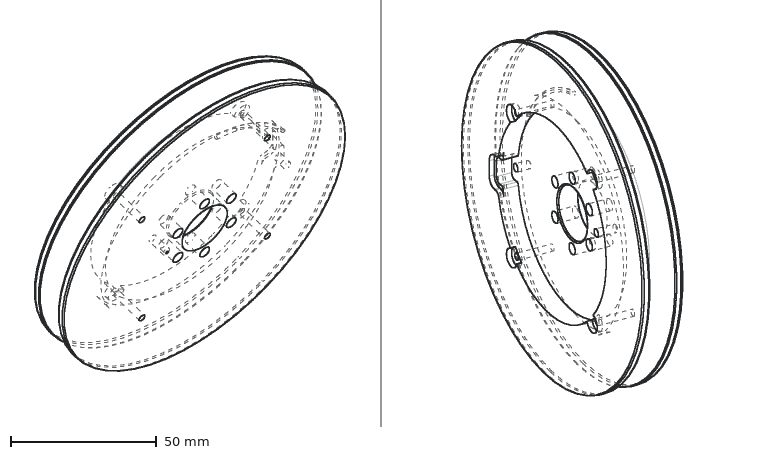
import cadquery as cq
import math

outer_radius = 62.5
width = 16.0
flange_thickness = 3.0
hub_radius = 42.5
root_fillet = 2.0
rim_outer_chamfer = 0.8
rim_inner_chamfer = 0.5
rim_chamfer_height = 0.2

recess_radius = 37.5
recess_depth = 8.0
ledge_depth = 2.0

notch_reach = 41.6
notch_half_height = 5.0
notch_corner_radius = 2.0
notch_mouth_radius = 1.0
ledge_margin = 1.5
ledge_mouth_radius = 2.5

bore_radius = 10.0
bore_chamfer = 0.5
bolt_circle_radius = 13.6
bolt_hole_radius = 2.1
bolt_count = 6
corner_hole_offset = 27.8
corner_hole_radius = 1.2
corner_seat_radius = 3.5
pin_hole_radius = 1.5
pin_tip_angle = 118.0
through_pin_y = -16.6
through_pin_opening_radius = 0.5
notch_pin_y = 38.9
notch_pin_depth = 5.0

channel_radius = 0.8
channel_path_radius = 42.8
channel_offset = 3.4
channel_tilt = 2.0
channel_start_angle = 28.0
channel_sweep_angle = 52.0

left_face = -width / 2
right_face = width / 2
recess_floor = left_face + recess_depth
web_thickness = width - recess_depth
selection_margin = 0.1


def yz_plane(x):
    """Sketch plane at x: local x is +Y, local y is +Z, and extrusion runs toward +X."""
    return cq.Workplane("YZ", origin=(x, 0, 0))


def cylinder(x, length, radius, y=0, z=0):
    return yz_plane(x).center(y, z).circle(radius).extrude(length)


def spool_body():
    """Disc with two flanges and a rounded groove between them."""
    groove_half = width / 2 - flange_thickness
    shoulder = outer_radius - rim_chamfer_height
    return (
        cq.Workplane("XY")
        .moveTo(left_face, 0)
        .lineTo(left_face, shoulder)
        .lineTo(left_face + rim_outer_chamfer, outer_radius)
        .lineTo(-groove_half - rim_inner_chamfer, outer_radius)
        .lineTo(-groove_half, shoulder)
        .lineTo(-groove_half, hub_radius + root_fillet)
        .radiusArc((-groove_half + root_fillet, hub_radius), -root_fillet)
        .lineTo(groove_half - root_fillet, hub_radius)
        .radiusArc((groove_half, hub_radius + root_fillet), -root_fillet)
        .lineTo(groove_half, shoulder)
        .lineTo(groove_half + rim_inner_chamfer, outer_radius)
        .lineTo(right_face - rim_outer_chamfer, outer_radius)
        .lineTo(right_face, shoulder)
        .lineTo(right_face, 0)
        .close()
        .revolve(360, (0, 0, 0), (1, 0, 0))
    )


def notched_recess(depth, reach, half_height, corner_radius, mouth_radius):
    """Round pocket with a side notch whose mouth blends into the round wall."""
    notch = (
        yz_plane(left_face)
        .center(reach / 2, 0)
        .rect(reach, 2 * half_height)
        .extrude(depth)
        .edges("|X and >Y")
        .fillet(corner_radius)
    )
    mouth_y = math.sqrt(recess_radius**2 - half_height**2)
    mouth_edges = cq.selectors.BoxSelector(
        (left_face - selection_margin, mouth_y - selection_margin, -half_height - selection_margin),
        (right_face + selection_margin, mouth_y + selection_margin, half_height + selection_margin),
    )
    pocket = cylinder(left_face, depth, recess_radius).union(notch)
    return pocket.edges("|X").edges(mouth_edges).fillet(mouth_radius)


def pin_hole(y, depth):
    """Drilled hole from the recess floor: straight to depth, then a conical tip."""
    tip_length = pin_hole_radius / math.tan(math.radians(pin_tip_angle / 2))
    profile = (
        cq.Workplane("XY", origin=(recess_floor, y, 0))
        .lineTo(0, pin_hole_radius)
        .lineTo(depth, pin_hole_radius)
        .lineTo(depth + tip_length, 0)
        .close()
    )
    return profile.revolve(360, (0, 0, 0), (1, 0, 0))


def cable_channel():
    """Round channel along the hub, tilted so it drifts toward the +X flange as Z rises."""
    return (
        cq.Workplane("XY")
        .center(channel_offset, channel_path_radius)
        .circle(channel_radius)
        .revolve(channel_sweep_angle, (0, -channel_path_radius, 0), (1, -channel_path_radius, 0))
        .rotate((0, 0, 0), (1, 0, 0), channel_start_angle)
        .rotate((0, 0, 0), (0, 1, 0), channel_tilt)
    )


result = spool_body()

result = result.cut(
    notched_recess(recess_depth, notch_reach, notch_half_height, notch_corner_radius, notch_mouth_radius)
)
result = result.cut(
    notched_recess(
        ledge_depth,
        notch_reach + ledge_margin,
        notch_half_height + ledge_margin,
        notch_corner_radius + ledge_margin,
        ledge_mouth_radius,
    )
)

result = result.cut(cylinder(left_face, width, bore_radius))
bore_countersink = (
    yz_plane(recess_floor)
    .circle(bore_radius + bore_chamfer)
    .workplane(offset=bore_chamfer)
    .circle(bore_radius)
    .loft(ruled=True)
)
result = result.cut(bore_countersink)

for index in range(bolt_count):
    angle = math.radians(90 + index * 360 / bolt_count)
    bolt_y = bolt_circle_radius * math.cos(angle)
    bolt_z = bolt_circle_radius * math.sin(angle)
    result = result.cut(cylinder(left_face, width, bolt_hole_radius, bolt_y, bolt_z))

for side_y in (-1, 1):
    for side_z in (-1, 1):
        corner = (side_y * corner_hole_offset, side_z * corner_hole_offset)
        result = result.cut(cylinder(left_face, width, corner_hole_radius, *corner))
        result = result.cut(cylinder(left_face, ledge_depth, corner_seat_radius, *corner))

breakthrough = (pin_hole_radius - through_pin_opening_radius) / math.tan(math.radians(pin_tip_angle / 2))
result = result.cut(pin_hole(through_pin_y, web_thickness - breakthrough))
result = result.cut(pin_hole(notch_pin_y, notch_pin_depth))

result = result.cut(cable_channel())